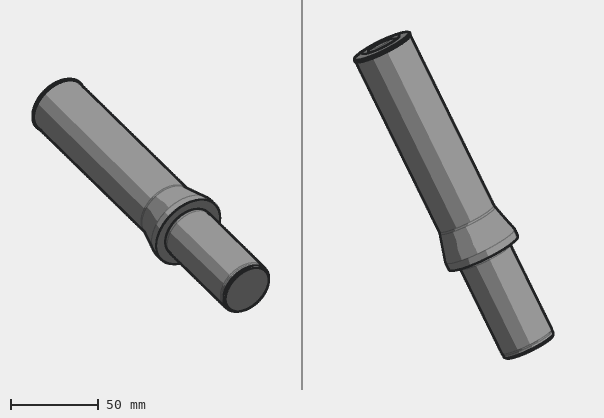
import cadquery as cq
import math

total_length = 195.0

head_length = 2.5
head_radius = 17.85
head_edge_start = 0.8
head_edge_end = 1.4
head_back_taper_start = 2.0
face_edge_radius = 16.2
head_bevel_radius = 17.4
head_bevel_start = 1.0
outer_ridge_radius = 11.9
groove_radius = 8.5
inner_ridge_radius = 5.7
face_groove_depth = 0.5
center_dish_depth = 0.5

shank_diameter = 35.0
flange_diameter = 44.0
flange_end = 134.5
flange_rim_width = 4.7
cone_angle = 15.0
cone_blend_radius = 4.9
spigot_diameter = 32.0
relief_diameter = 31.5
neck_width = 0.8
neck_lead_width = 1.5
rear_relief_width = 3.7
rear_step_width = 1.0
end_chamfer = 1.0

shank_radius = shank_diameter / 2
flange_radius = flange_diameter / 2
spigot_radius = spigot_diameter / 2
relief_radius = relief_diameter / 2
cone_end = flange_end - flange_rim_width
cone_length = (flange_radius - shank_radius) / math.tan(math.radians(cone_angle))
cone_start = cone_end - cone_length


def revolve_profile(points):
    """Revolve a closed (axial position, radius) outline around the X axis."""
    return cq.Workplane("XY").polyline(points).close().revolve(360, (0, 0), (1, 0))


def make_cutting_head():
    """Thin disc, beveled at both rims, with two concentric ridges and a shallow central dish."""
    profile = [
        (head_length, 0),
        (center_dish_depth, 0),
        (0, inner_ridge_radius),
        (face_groove_depth, groove_radius),
        (0, outer_ridge_radius),
        (head_edge_start, face_edge_radius),
        (head_bevel_start, head_bevel_radius),
        (head_edge_end, head_radius),
        (head_back_taper_start, head_radius),
        (head_length, shank_radius),
    ]
    return revolve_profile(profile)


def make_holder():
    """Shank with a conical flange and a relieved spigot behind it."""
    neck_end = flange_end + neck_width
    spigot_start = neck_end + neck_lead_width
    relief_start = total_length - rear_relief_width
    profile = [
        (head_length, 0),
        (head_length, shank_radius),
        (cone_start, shank_radius),
        (cone_end, flange_radius),
        (flange_end, flange_radius),
        (flange_end, relief_radius),
        (neck_end, relief_radius),
        (spigot_start, spigot_radius),
        (relief_start, spigot_radius),
        (relief_start + rear_step_width, relief_radius),
        (total_length - end_chamfer, relief_radius),
        (total_length, relief_radius - end_chamfer),
        (total_length, 0),
    ]
    holder = revolve_profile(profile)

    cone_ends = cq.selectors.BoxSelector(
        (cone_start - flange_rim_width / 2, -flange_radius, -flange_radius),
        (cone_end + flange_rim_width / 2, flange_radius, flange_radius),
        boundingbox=True,
    )
    circles = holder.edges("%CIRCLE").edges(cone_ends)
    return circles.fillet(cone_blend_radius)


cutting_head = make_cutting_head()
holder = make_holder()
center_shift = (-total_length / 2, 0, 0)
result = cq.Compound.makeCompound([
    cutting_head.translate(center_shift).val(),
    holder.translate(center_shift).val(),
])